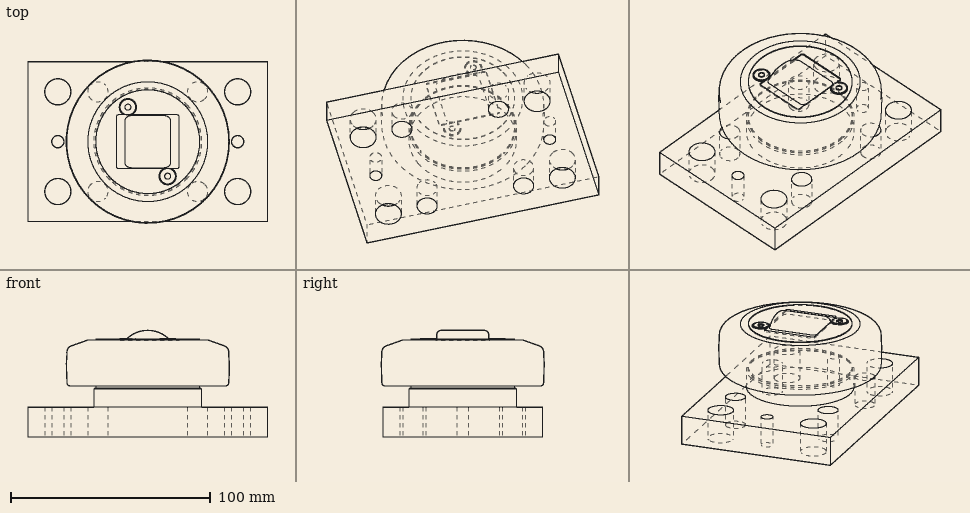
import cadquery as cq
import math

plate_length = 120.0
plate_width = 80.0
plate_height = 15.0
mounting_hole_diameter = 13.0
inner_hole_diameter = 10.1
dowel_hole_diameter = 6.0
outer_hole_x = 45.0
hole_offset = 25.0

collar_diameter = 54.0
collar_height = 9.7
collar_chamfer = 0.7

roller_bottom = 25.5
roller_diameter = 81.8
crown_drop = 0.4
rim_bottom = 27.2
rim_top = 41.6
bottom_chamfer = rim_bottom - roller_bottom
shoulder_radius = 38.4
shoulder_height = 45.7
face_radius = 30.0
face_height = 48.7

cap_diameter = 52.0
cap_height = 49.1

pocket_length = 31.2
pocket_width = 27.0
pocket_depth = 0.7
pocket_corner = 1.0
side_roller_top = 53.5
side_roller_radius = 15.0
side_roller_length = 26.2
side_roller_fillet = 2.4

screw_x = 10.0
screw_y = 17.3
screw_head_diameter = 7.8
screw_recess_diameter = 8.6
screw_recess_depth = 0.5
screw_head_height = 49.3
socket_diameter = 3.0
socket_depth = 0.5


def cylinder(diameter, bottom, top, points=((0, 0),)):
    """Upright cylinders from bottom to top at the given XY points."""
    plane = cq.Workplane("XY").workplane(offset=bottom)
    return plane.pushPoints(points).circle(diameter / 2).extrude(top - bottom)


def mirrored(x, y):
    """The four points placed symmetrically about both axes."""
    return [(sx * x, sy * y) for sx in (-1, 1) for sy in (-1, 1)]


def make_plate():
    plate = cq.Workplane("XY").box(plate_length, plate_width, plate_height, centered=(True, True, False))
    hole_sets = (
        (mounting_hole_diameter, mirrored(outer_hole_x, hole_offset)),
        (inner_hole_diameter, mirrored(hole_offset, hole_offset)),
        (dowel_hole_diameter, [(-outer_hole_x, 0), (outer_hole_x, 0)]),
    )
    for diameter, points in hole_sets:
        plate = plate.cut(cylinder(diameter, 0, plate_height, points))
    return plate


def make_collar():
    collar_top = plate_height + collar_height
    collar = cylinder(collar_diameter, plate_height, collar_top).faces(">Z").chamfer(collar_chamfer)
    spacer = cylinder(cap_diameter, collar_top, roller_bottom)
    return collar.union(spacer)


def make_roller():
    crown_radius = roller_diameter / 2
    rim_radius = crown_radius - crown_drop
    corner_mid = (
        shoulder_radius + (rim_radius - shoulder_radius) * math.sqrt(0.5),
        rim_top + (shoulder_height - rim_top) * math.sqrt(0.5),
    )
    return (
        cq.Workplane("XZ")
        .moveTo(0, roller_bottom)
        .lineTo(rim_radius - bottom_chamfer, roller_bottom)
        .radiusArc((rim_radius, rim_bottom), -bottom_chamfer)
        .threePointArc((crown_radius, (rim_bottom + rim_top) / 2), (rim_radius, rim_top))
        .threePointArc(corner_mid, (shoulder_radius, shoulder_height))
        .lineTo(face_radius, face_height)
        .lineTo(0, face_height)
        .close()
        .revolve(360, (0, 0, 0), (0, 1, 0))
    )


def cut_pocket(body):
    pocket = (
        cq.Workplane("XY")
        .workplane(offset=cap_height - pocket_depth)
        .rect(pocket_length, pocket_width)
        .extrude(pocket_depth)
        .edges("|Z")
        .fillet(pocket_corner)
    )
    return body.cut(pocket)


def make_side_roller():
    return (
        cq.Workplane("XZ")
        .center(0, side_roller_top - side_roller_radius)
        .circle(side_roller_radius)
        .extrude(side_roller_length / 2, both=True)
        .edges()
        .fillet(side_roller_fillet)
    )


def add_screws(body):
    points = [(-screw_x, screw_y), (screw_x, -screw_y)]
    recess_floor = cap_height - screw_recess_depth
    recesses = cylinder(screw_recess_diameter, recess_floor, cap_height, points)
    heads = cylinder(screw_head_diameter, recess_floor, screw_head_height, points)
    sockets = cylinder(socket_diameter, screw_head_height - socket_depth, screw_head_height, points)
    return body.cut(recesses).union(heads).cut(sockets)


cap = cylinder(cap_diameter, face_height, cap_height)
result = make_plate().union(make_collar()).union(make_roller()).union(cap)
result = cut_pocket(result).union(make_side_roller())
result = add_screws(result)